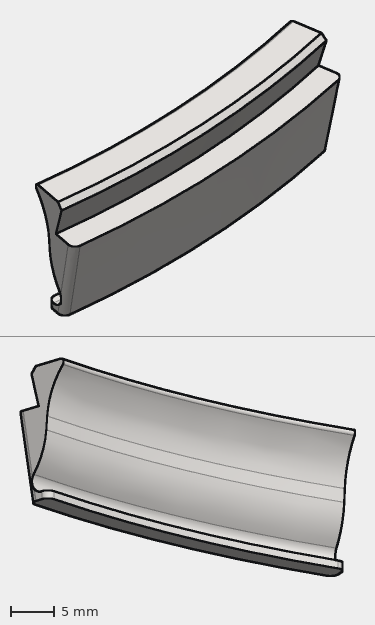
import cadquery as cq
import math

half_angle = 10.0
height = 16.5

ledge_radius = 129.0
ledge_height = 11.52
wall_lean = 10.0
neck_radius = 125.6
neck_lean = 15.0
bevel_width = 0.7
bevel_height = 0.8

nose_top_radius = 122.13
nose_bottom_radius = 121.72
nose_drop = 0.8
nose_round = 0.5
flank_top = (124.2, 9.95)
flank_bottom = (124.35, 8.3)
upper_flank_round = 9.8
lower_flank_round = 9.35
lip_radius = 124.05
lip_height = 1.0
cove_center_radius = 125.1
cove_round = 1.5
cove_end_angle = 34.0

corner_round = 1.0
wall_depth = 6.67


def run(rise, lean):
    """Horizontal run of a line leaning away from vertical."""
    return rise * math.tan(math.radians(lean))


def cove_point(angle):
    """Point on the cove, with the angle measured up from horizontal."""
    turn = math.radians(angle)
    cove_center_height = lip_height + cove_round
    return (
        cove_center_radius + cove_round * math.cos(turn),
        cove_center_height + cove_round * math.sin(turn),
    )


def foot_radius():
    return ledge_radius - run(ledge_height, wall_lean)


def make_section():
    bevel_bottom = height - bevel_height
    crest_radius = neck_radius + run(bevel_bottom - ledge_height, neck_lean)
    return (
        cq.Workplane("XZ")
        .moveTo(lip_radius, 0)
        .lineTo(foot_radius(), 0)
        .lineTo(ledge_radius, ledge_height)
        .lineTo(neck_radius, ledge_height)
        .lineTo(crest_radius, bevel_bottom)
        .lineTo(crest_radius - bevel_width, height)
        .lineTo(nose_top_radius, height)
        .radiusArc((nose_bottom_radius, height - nose_drop), -nose_round)
        .radiusArc(flank_top, upper_flank_round)
        .lineTo(*flank_bottom)
        .radiusArc(cove_point(cove_end_angle), -lower_flank_round)
        .threePointArc(cove_point(-45), (cove_center_radius, lip_height))
        .lineTo(lip_radius, lip_height)
        .close()
    )


def make_wall_section():
    """Plain section under the ledge, carrying only the leaning outer wall."""
    back_radius = foot_radius() - wall_depth
    return (
        cq.Workplane("XZ")
        .moveTo(back_radius, 0)
        .lineTo(foot_radius(), 0)
        .lineTo(ledge_radius, ledge_height)
        .lineTo(back_radius, ledge_height)
        .close()
    )


def sweep(section):
    """Revolve a section into a segment centred on the X axis."""
    body = section.revolve(2 * half_angle, (0, 0), (0, 1))
    return body.rotate((0, 0, 0), (0, 0, 1), -half_angle)


def round_end_edges(body, radius, level):
    """Round the edge nearest the given section point at both ends."""
    for side in (-1, 1):
        turn = math.radians(side * half_angle)
        spot = (radius * math.cos(turn), radius * math.sin(turn), level)
        edge = cq.selectors.NearestToPointSelector(spot)
        body = body.edges(edge).fillet(corner_round)
    return body


def wall_corner_waste():
    """Slivers outside the rounded wall ends, which run out through the cove."""
    wall = sweep(make_wall_section())
    middle_radius = (foot_radius() + ledge_radius) / 2
    rounded_wall = round_end_edges(wall, middle_radius, ledge_height / 2)
    return wall.cut(rounded_wall)


segment = sweep(make_section())
segment = round_end_edges(segment, lip_radius, lip_height / 2)
result = segment.cut(wall_corner_waste())